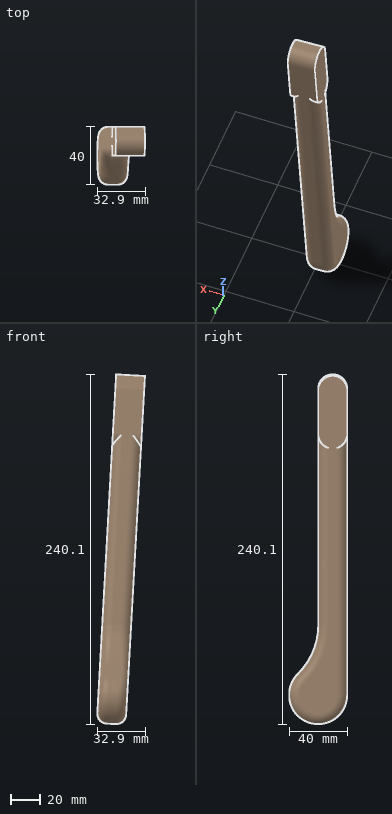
import cadquery as cq
import math

THICKNESS = 20.0
KNOB_RADIUS = 20.0
SHANK_WIDTH = 20.0
NECK_RADIUS = 47.0
EDGE_FILLET = 7.0
HEAD_LENGTH = 50.0
LEVER_TOP = 219.7
TILT_ANGLE = 3.18

SHANK_RADIUS = SHANK_WIDTH / 2
SHANK_BACK = KNOB_RADIUS
SHANK_FRONT = SHANK_BACK - SHANK_WIDTH
SHANK_MIDDLE = SHANK_BACK - SHANK_RADIUS
TOP_CENTER = LEVER_TOP - SHANK_RADIUS

NECK_Y = SHANK_FRONT - NECK_RADIUS
NECK_Z = math.sqrt((NECK_RADIUS + KNOB_RADIUS) ** 2 - NECK_Y ** 2)
NECK_ANGLE = math.atan2(NECK_Z, NECK_Y)


def polar(center_y, center_z, radius, angle):
    """Point on a circle in the YZ plane."""
    return (center_y + radius * math.cos(angle), center_z + radius * math.sin(angle))


def make_lever():
    """Shank flowing into the knob, with every edge rounded."""
    knob_start = polar(0, 0, KNOB_RADIUS, NECK_ANGLE)
    knob_bottom = (0, -KNOB_RADIUS)
    neck_middle_angle = (NECK_ANGLE - math.pi) / 2
    neck_middle = polar(NECK_Y, NECK_Z, NECK_RADIUS, neck_middle_angle)
    outline = (
        cq.Workplane("YZ")
        .moveTo(SHANK_FRONT, TOP_CENTER)
        .lineTo(SHANK_FRONT, NECK_Z)
        .threePointArc(neck_middle, knob_start)
        .threePointArc(knob_bottom, (SHANK_BACK, 0))
        .lineTo(SHANK_BACK, TOP_CENTER)
        .threePointArc((SHANK_MIDDLE, LEVER_TOP), (SHANK_FRONT, TOP_CENTER))
        .close()
    )
    return outline.extrude(THICKNESS).faces("<X or >X").edges().fillet(EDGE_FILLET)


def make_head():
    """Obround block with sharp edges, flush with the faces of the shank."""
    return (
        cq.Workplane("YZ")
        .center(SHANK_MIDDLE, LEVER_TOP - HEAD_LENGTH / 2)
        .slot2D(HEAD_LENGTH, SHANK_WIDTH, angle=90)
        .extrude(THICKNESS)
    )


upright = make_lever().union(make_head())
result = upright.rotate((0, 0, 0), (0, 1, 0), TILT_ANGLE)